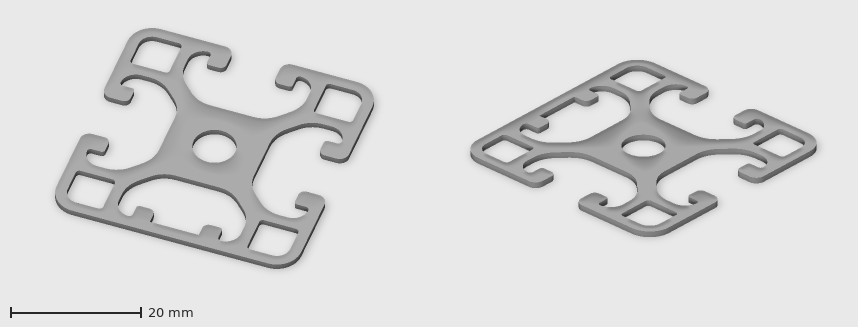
import cadquery as cq

side = 40.0
thickness = 1.0
half = side / 2
corner_radius = 4.0
bore_diameter = 6.8

cell_wall = 1.8
cell_size = 6.4
cell_outer_radius = 2.2
cell_inner_radius = 0.6
cell_center = half - cell_wall - cell_size / 2

slot_half_width = 10.0
slot_wall = 1.9
slot_top = half - slot_wall
slot_floor = 7.75
web_offset = 2.1
web_radius = 5.0
slot_top_radius = 2.5

gap_half_width = 4.0
lip_outer_x = 7.0
lip_bottom = 15.5
lip_gap_radius = 1.0
lip_back_radius = 0.5
lip_root_radius = 0.55
mouth_radius = 1.5

open_slot_angles = (0, 90, 270)
closed_slot_angle = 180


def edge_near(x, y):
    """Selector for the vertical edge closest to (x, y)."""
    return cq.selectors.NearestToPointSelector((x, y, thickness / 2))


def fillet_mirrored(body, radius, x, y):
    """Round the vertical edges at (x, y) and (-x, y)."""
    for edge_x in (x, -x):
        body = body.edges("|Z").edges(edge_near(edge_x, y)).fillet(radius)
    return body


def block(x_min, x_max, y_min, y_max):
    """Full-thickness rectangular block between the given limits."""
    return (
        cq.Workplane("XY")
        .center((x_min + x_max) / 2, (y_min + y_max) / 2)
        .rect(x_max - x_min, y_max - y_min)
        .extrude(thickness)
    )


def make_lip():
    """Hooked lip on the +X side of the slot opening."""
    lip = block(gap_half_width, lip_outer_x, lip_bottom, slot_top)
    lip = lip.edges("|Z").edges(edge_near(gap_half_width, lip_bottom)).fillet(lip_gap_radius)
    return lip.edges("|Z").edges(edge_near(lip_outer_x, lip_bottom)).fillet(lip_back_radius)


def make_slot_cavity():
    """Hollow of one slot, with the two lips left standing."""
    flank_top = slot_half_width + web_offset
    floor_half_width = slot_floor - web_offset
    cavity = (
        cq.Workplane("XY")
        .polyline([
            (slot_half_width, slot_top),
            (slot_half_width, flank_top),
            (floor_half_width, slot_floor),
            (-floor_half_width, slot_floor),
            (-slot_half_width, flank_top),
            (-slot_half_width, slot_top),
        ])
        .close()
        .extrude(thickness)
    )
    cavity = fillet_mirrored(cavity, web_radius, floor_half_width, slot_floor)
    cavity = fillet_mirrored(cavity, web_radius, slot_half_width, flank_top)
    cavity = fillet_mirrored(cavity, slot_top_radius, slot_half_width, slot_top)
    lip = make_lip()
    cavity = cavity.cut(lip).cut(lip.mirror("YZ"))
    return fillet_mirrored(cavity, lip_root_radius, lip_outer_x, slot_top)


def make_corner_cell():
    """Hollow cell in the +X +Y corner, more rounded on its outer corner."""
    near = cell_center - cell_size / 2
    far = cell_center + cell_size / 2
    cell = block(near, far, near, far)
    cell = cell.edges("|Z").edges(edge_near(far, far)).fillet(cell_outer_radius)
    for x, y in ((near, near), (near, far), (far, near)):
        cell = cell.edges("|Z").edges(edge_near(x, y)).fillet(cell_inner_radius)
    return cell


def turned(body, angle):
    """Body turned about the plate axis."""
    return body.rotate((0, 0, 0), (0, 0, 1), angle)


plate = block(-half, half, -half, half).edges("|Z").fillet(corner_radius)
plate = plate.cut(cq.Workplane("XY").circle(bore_diameter / 2).extrude(thickness))

corner_cell = make_corner_cell()
for quarter in range(4):
    plate = plate.cut(turned(corner_cell, 90 * quarter))

slot_cavity = make_slot_cavity()
slot_mouth = block(-gap_half_width, gap_half_width, slot_top, half)
for angle in open_slot_angles:
    plate = turned(plate, -angle)
    plate = plate.cut(slot_cavity).cut(slot_mouth).clean()
    plate = fillet_mirrored(plate, mouth_radius, gap_half_width, half)
    plate = turned(plate, angle)
plate = plate.cut(turned(slot_cavity, closed_slot_angle))

result = plate